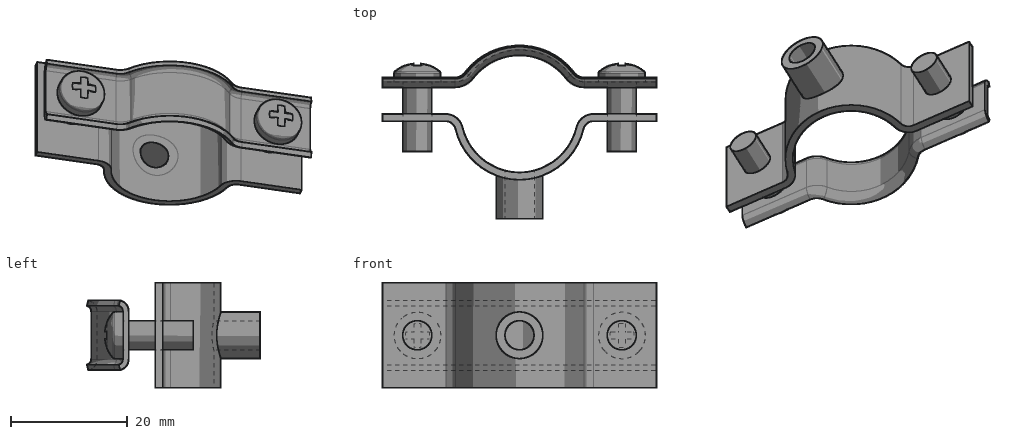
import cadquery as cq
import math


clamp_length = 47.0
pipe_radius = 10.0
screw_spacing = 35.0
screw_diameter = 5.0

band_width = 18.0
band_thickness = 1.25
band_bend_radius = 3.0
band_flange_offset = 0.0

boss_diameter = 8.0
boss_bore = 5.0
boss_end = 18.0

strap_width = 12.0
strap_thickness = 1.0
strap_bend_radius = 4.0
strap_flange_offset = 4.5
lip_outer_radius = 1.97
lip_angle = math.radians(75)

screw_tip_y = -6.5
head_diameter = 8.0
rim_height = 1.65
dome_height = 1.55
rim_fillet = 0.38
slot_width = 1.25
slot_depth = 0.38

half_length = clamp_length / 2
screw_xs = (-screw_spacing / 2, screw_spacing / 2)
head_seat_y = strap_flange_offset + strap_thickness


def clamp_path(flange_offset, bend_radius, side):
    """Curve of a clamp half's inner face: flange, bend, ring arc, bend, flange.

    side is +1 for the +Y half and -1 for the -Y half.
    """
    center_offset = flange_offset + bend_radius
    center_distance = pipe_radius + bend_radius
    bend_x = math.sqrt(center_distance**2 - center_offset**2)
    tangent_scale = pipe_radius / center_distance
    tangent_x = bend_x * tangent_scale
    tangent_y = side * center_offset * tangent_scale

    half_turn = math.atan2(bend_x, center_offset) / 2
    bend_mid_x = bend_x - bend_radius * math.sin(half_turn)
    bend_mid_y = side * (center_offset - bend_radius * math.cos(half_turn))
    flange_y = side * flange_offset

    return (
        cq.Workplane("XY")
        .moveTo(-half_length, flange_y)
        .lineTo(-bend_x, flange_y)
        .threePointArc((-bend_mid_x, bend_mid_y), (-tangent_x, tangent_y))
        .threePointArc((0, side * pipe_radius), (tangent_x, tangent_y))
        .threePointArc((bend_mid_x, bend_mid_y), (bend_x, flange_y))
        .lineTo(half_length, flange_y)
    )


def end_plane():
    """Plane of the -X end faces, with local axes along Y and Z."""
    return cq.Workplane("YZ", origin=(-half_length, 0, 0))


def cylinder_along_y(diameter, x, start_y, end_y):
    plane = cq.Workplane("XZ", origin=(x, start_y, 0))
    return plane.circle(diameter / 2).extrude(start_y - end_y)


def drill_screw_holes(body):
    for x in screw_xs:
        body = body.cut(cylinder_along_y(screw_diameter, x, -half_length, half_length))
    return body


def make_band():
    section_y = -band_flange_offset - band_thickness / 2
    section = end_plane().center(section_y, 0).rect(band_thickness, band_width)
    band = section.sweep(clamp_path(band_flange_offset, band_bend_radius, -1))

    boss_root = math.sqrt(pipe_radius**2 - (boss_diameter / 2) ** 2)
    boss = cylinder_along_y(boss_diameter, 0, -boss_root, -boss_end)
    pipe_space = cq.Workplane("XY").circle(pipe_radius).extrude(band_width / 2, both=True)
    band = band.union(boss.cut(pipe_space))
    band = band.cut(cylinder_along_y(boss_bore, 0, 0, -boss_end))
    return drill_screw_holes(band)


def lip_point(radius, angle, side):
    """Point on a lip arc, measured from where the lip leaves the flat web."""
    web_half_width = strap_width / 2 - lip_outer_radius * math.sin(lip_angle)
    y = strap_flange_offset + lip_outer_radius - radius * math.cos(angle)
    z = web_half_width + radius * math.sin(angle)
    return (y, side * z)


def make_strap():
    """Channel whose flat web faces the pipe and whose two lips curl away from it."""
    outer = lip_outer_radius
    inner = lip_outer_radius - strap_thickness
    middle = lip_angle / 2
    section = (
        end_plane()
        .moveTo(*lip_point(outer, 0, -1))
        .lineTo(*lip_point(outer, 0, 1))
        .threePointArc(lip_point(outer, middle, 1), lip_point(outer, lip_angle, 1))
        .lineTo(*lip_point(inner, lip_angle, 1))
        .threePointArc(lip_point(inner, middle, 1), lip_point(inner, 0, 1))
        .lineTo(*lip_point(inner, 0, -1))
        .threePointArc(lip_point(inner, middle, -1), lip_point(inner, lip_angle, -1))
        .lineTo(*lip_point(outer, lip_angle, -1))
        .threePointArc(lip_point(outer, middle, -1), lip_point(outer, 0, -1))
        .close()
    )
    strap = section.sweep(clamp_path(strap_flange_offset, strap_bend_radius, 1))
    return drill_screw_holes(strap)


def make_screw(x):
    """Screw along Y: plain shank, rimmed dome head and a cross slot in the dome."""
    head_radius = head_diameter / 2
    rim_y = head_seat_y + rim_height
    dome_top = rim_y + dome_height
    dome_radius = (head_radius**2 + dome_height**2) / (2 * dome_height)
    half_dome_angle = math.asin(head_radius / dome_radius) / 2
    dome_mid = (
        dome_radius * math.sin(half_dome_angle),
        dome_top - dome_radius * (1 - math.cos(half_dome_angle)),
    )
    head = (
        cq.Workplane("XY")
        .moveTo(0, head_seat_y)
        .lineTo(head_radius, head_seat_y)
        .lineTo(head_radius, rim_y)
        .threePointArc(dome_mid, (0, dome_top))
        .close()
        .revolve(360, (0, 0, 0), (0, 1, 0))
    )
    rim_edge = cq.selectors.NearestToPointSelector((0, rim_y, 0))
    head = head.edges("%CIRCLE").edges(rim_edge).fillet(rim_fillet)

    slot_center = (0, dome_top, 0)
    slot_along_x = cq.Workplane("XY").box(head_diameter, 2 * slot_depth, slot_width).translate(slot_center)
    slot_along_z = cq.Workplane("XY").box(slot_width, 2 * slot_depth, head_diameter).translate(slot_center)
    head = head.cut(slot_along_x).cut(slot_along_z)

    shank = cylinder_along_y(screw_diameter, 0, head_seat_y, screw_tip_y)
    return head.union(shank).translate((x, 0, 0))


band = make_band()
strap = make_strap()
screws = [make_screw(x) for x in screw_xs]

result = cq.Compound.makeCompound([band.val(), strap.val(), *[screw.val() for screw in screws]])